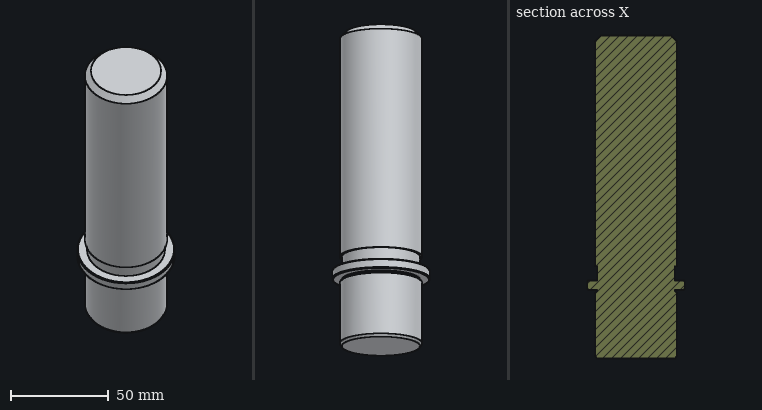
import cadquery as cq

total_length = 165.0
shaft_radius = 42.0 / 2
neck_radius = 40.0 / 2
flange_radius = 50.0 / 2

base_top = 34.5
flange_bottom = 35.0
flange_top = 40.0
neck_top = 47.0

tip_chamfer = 3.1
base_chamfer_width = 1.0
base_chamfer_height = 1.5
shoulder_chamfer = shaft_radius - neck_radius
flange_chamfer = 0.5

profile = [
    (0, 0),
    (shaft_radius - base_chamfer_width, 0),
    (shaft_radius, base_chamfer_height),
    (shaft_radius, base_top - shoulder_chamfer),
    (neck_radius, base_top),
    (neck_radius, flange_bottom),
    (flange_radius - flange_chamfer, flange_bottom),
    (flange_radius, flange_bottom + flange_chamfer),
    (flange_radius, flange_top - flange_chamfer),
    (flange_radius - flange_chamfer, flange_top),
    (neck_radius, flange_top),
    (neck_radius, neck_top),
    (shaft_radius, neck_top),
    (shaft_radius, total_length - tip_chamfer),
    (shaft_radius - tip_chamfer, total_length),
    (0, total_length),
]

result = cq.Workplane("XZ").polyline(profile).close().revolve(360, (0, 0, 0), (0, 1, 0))